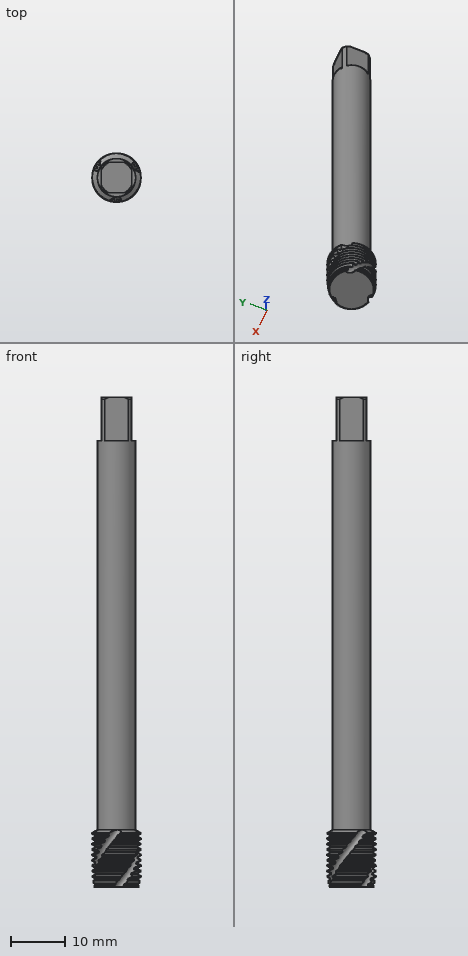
import cadquery as cq
import math

TOTAL_LENGTH = 90.0

SHANK_RADIUS = 3.5
END_CHAMFER = 0.4
SQUARE_SIDE = 5.6
SQUARE_LENGTH = 8.0

THREAD_RADIUS = 4.5
TOOTH_COUNT = 10
PITCH = 1.0
FLANK_ANGLE = 30.0
FLANK_SLOPE = math.tan(math.radians(FLANK_ANGLE))
HALF_CREST = PITCH / 16
HALF_ROOT = PITCH / 8
THREAD_DEPTH = (PITCH / 2 - HALF_CREST - HALF_ROOT) / FLANK_SLOPE
ROOT_RADIUS = THREAD_RADIUS - THREAD_DEPTH

TOP_FLANK_HEIGHT = (THREAD_RADIUS - SHANK_RADIUS) * FLANK_SLOPE
HEAD_LENGTH = TOOTH_COUNT * PITCH + HALF_CREST + TOP_FLANK_HEIGHT

TIP_RADIUS = 4.05
LEAD_LENGTH = 2 * PITCH

FLUTE_COUNT = 3
FLUTE_RADIUS = 1.1
FLUTE_CENTRE_RADIUS = 4.6
FLUTE_START_ANGLE = 33.0
FLUTE_SPACING = 360 / FLUTE_COUNT


def make_shank():
    """Round shank standing on the head, milled to a square at its chamfered upper end."""
    shank = (
        cq.Workplane("XY", origin=(0, 0, HEAD_LENGTH))
        .circle(SHANK_RADIUS)
        .extrude(TOTAL_LENGTH - HEAD_LENGTH)
        .faces(">Z")
        .chamfer(END_CHAMFER)
    )
    flats_cutter = (
        cq.Workplane("XY", origin=(0, 0, TOTAL_LENGTH - SQUARE_LENGTH))
        .circle(2 * SHANK_RADIUS)
        .rect(SQUARE_SIDE, SQUARE_SIDE)
        .extrude(SQUARE_LENGTH)
    )
    return shank.cut(flats_cutter)


def revolve_about_z(profile):
    """Full turn of an XZ half-section about the Z axis."""
    return profile.revolve(360, (0, 0, 0), (0, 1, 0))


def make_threaded_blank():
    """Blank with one ring-shaped tooth per pitch, starting from half a tooth at the tip."""
    profile = cq.Workplane("XZ").lineTo(THREAD_RADIUS, 0).lineTo(THREAD_RADIUS, HALF_CREST)
    for tooth in range(1, TOOTH_COUNT + 1):
        crest_height = tooth * PITCH
        root_height = crest_height - PITCH / 2
        profile = (
            profile.lineTo(ROOT_RADIUS, root_height - HALF_ROOT)
            .lineTo(ROOT_RADIUS, root_height + HALF_ROOT)
            .lineTo(THREAD_RADIUS, crest_height - HALF_CREST)
            .lineTo(THREAD_RADIUS, crest_height + HALF_CREST)
        )
    profile = profile.lineTo(SHANK_RADIUS, HEAD_LENGTH).lineTo(0, HEAD_LENGTH).close()
    return revolve_about_z(profile)


def make_lead_envelope():
    """Solid of revolution that tapers the teeth nearest the tip."""
    profile = (
        cq.Workplane("XZ")
        .lineTo(TIP_RADIUS, 0)
        .lineTo(THREAD_RADIUS, LEAD_LENGTH)
        .lineTo(THREAD_RADIUS, HEAD_LENGTH)
        .lineTo(0, HEAD_LENGTH)
        .close()
    )
    return revolve_about_z(profile)


def make_flute_cutter(start_angle):
    """Helical groove running the full length of the head."""
    angle = math.radians(start_angle)
    centre = (FLUTE_CENTRE_RADIUS * math.cos(angle), FLUTE_CENTRE_RADIUS * math.sin(angle))
    return (
        cq.Workplane("XY")
        .pushPoints([centre])
        .circle(FLUTE_RADIUS)
        .twistExtrude(HEAD_LENGTH, FLUTE_SPACING)
    )


def make_head():
    """Tapered, threaded head with the helical flutes cut through its teeth."""
    head = make_threaded_blank().intersect(make_lead_envelope())
    for flute in range(FLUTE_COUNT):
        head = head.cut(make_flute_cutter(FLUTE_START_ANGLE + flute * FLUTE_SPACING))
    return head


shank = make_shank()
head = make_head()

result = cq.Compound.makeCompound([shank.solids().val(), head.solids().val()])